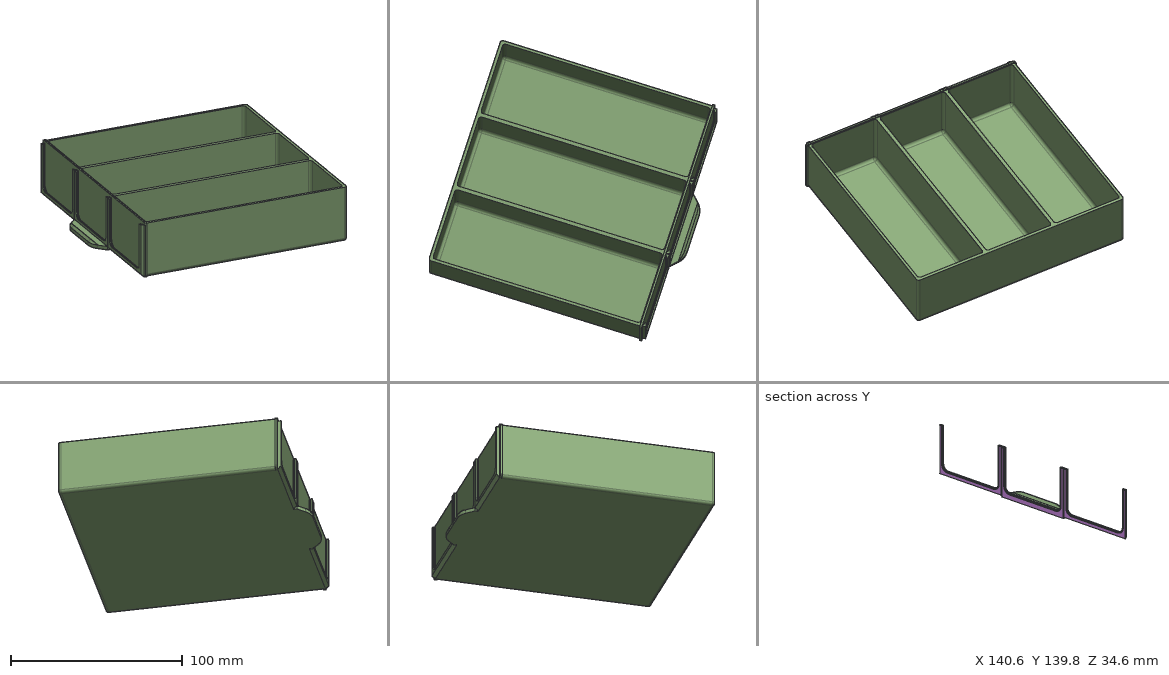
import cadquery as cq
import math

panel_width = 140.6
depth = 139.8
panel_height = 34.6

panel_thickness = 1.3
panel_corner_radius = 1.7

box_inset = 1.1
box_drop = 0.5
outer_radius = 1.7
wall = 1.7
back_wall = 2.0
divider = 2.2
floor_thickness = 1.4
cavity_corner_radius = 1.7
cavity_floor_radius = 2.0
cell_count = 3

holder_projection = 2.0
holder_drop = 1.7
holder_gap = 0.4
holder_border = 2.2
sill_height = 2.0
lip_thickness = 1.0
slot_thickness = 0.4
slot_overlap = 1.1
bevel_angle = 45
window_radius = 3.5

handle_reach = 7.2
handle_thickness = 2.2
handle_corner_radius = 9.8
ridge_height = 1.5
ridge_front_run = 1.4
ridge_back_run = 1.7

holder_front = handle_reach
panel_front = holder_front + holder_projection
panel_back = panel_front + panel_thickness
box_width = panel_width - 2 * box_inset
box_height = panel_height - box_drop
cell_width = (box_width - 2 * wall - (cell_count - 1) * divider) / cell_count
cell_pitch = cell_width + divider
holder_width = cell_pitch - holder_gap
holder_top = panel_height - holder_drop
lip_bevel = holder_projection - lip_thickness - slot_thickness
window_width = holder_width - 2 * holder_border
window_bottom = holder_projection + sill_height
cell_centres = [(i - (cell_count - 1) / 2) * cell_pitch for i in range(cell_count)]


def block(width, y_front, y_back, z_bottom, z_top, x_centre=0.0):
    """Box centred on x_centre between the given Y and Z limits."""
    size = (width, y_back - y_front, z_top - z_bottom)
    corner = (x_centre - width / 2, y_front, z_bottom)
    return cq.Workplane("XY").box(*size, centered=False).translate(corner)


def make_box():
    """Box with rounded outer edges and one rounded cavity per cell."""
    body = block(box_width, panel_front, depth, 0, box_height)
    body = body.edges("(>Y and |Z) or (<Z and (not <Y))").fillet(outer_radius)
    cavity_front = panel_front + wall
    for x in cell_centres:
        cavity = block(cell_width, cavity_front, depth - back_wall, floor_thickness, panel_height, x)
        cavity = cavity.edges("<Z").fillet(cavity_floor_radius)
        cavity = cavity.edges("|Z").fillet(cavity_corner_radius)
        body = body.cut(cavity)
    return body


def make_panel():
    """Flat front panel with rounded corners, wider and taller than the box."""
    panel = block(panel_width, panel_front, panel_back, 0, panel_height)
    return panel.edges("|Y").fillet(panel_corner_radius)


def opening(margin, y_front, y_back, taper=0.0):
    """U-shaped opening, open at the top, wider than the window by margin on each side."""
    half_width = window_width / 2 + margin
    bottom = window_bottom - margin
    radius = window_radius + margin
    bend = radius * (1 - math.sqrt(0.5))
    top = panel_height
    return (
        cq.Workplane("XZ", origin=(0, y_back, 0))
        .moveTo(-half_width, top)
        .lineTo(-half_width, bottom + radius)
        .threePointArc((-half_width + bend, bottom + bend), (-half_width + radius, bottom))
        .lineTo(half_width - radius, bottom)
        .threePointArc((half_width - bend, bottom + bend), (half_width, bottom + radius))
        .lineTo(half_width, top)
        .close()
        .extrude(y_back - y_front, taper=taper)
    )


def make_holder(x):
    """Label holder: block sloped underneath, with a bevelled slot behind a window."""
    profile = [
        (panel_front, 0),
        (holder_front, holder_projection),
        (holder_front, holder_top),
        (panel_front, holder_top),
    ]
    holder = cq.Workplane("YZ").polyline(profile).close().extrude(holder_width / 2, both=True)
    window = opening(0, holder_front, panel_front)
    bevel_back = panel_front - slot_thickness
    slot = opening(slot_overlap, bevel_back, panel_front)
    bevel = opening(slot_overlap, bevel_back - lip_bevel, bevel_back, taper=bevel_angle)
    return holder.cut(window).cut(slot).cut(bevel).translate((x, 0, 0))


def handle_outline(z):
    """Tab outline at height z: straight at the panel, 45 degree sides and a rounded tip."""
    root = holder_width / 2
    tip = root - handle_reach
    half_turn = math.radians(45) / 2
    tangent = handle_corner_radius * math.tan(half_turn)
    setback = tangent * math.sqrt(0.5)
    middle = handle_corner_radius * math.sin(half_turn)
    arc_rise = handle_corner_radius * (1 - math.cos(half_turn))
    straight = tip - tangent
    return (
        cq.Workplane("XY", origin=(0, 0, z))
        .moveTo(-root, panel_front)
        .lineTo(-root, holder_front)
        .lineTo(-tip - setback, setback)
        .threePointArc((-straight - middle, arc_rise), (-straight, 0))
        .lineTo(straight, 0)
        .threePointArc((straight + middle, arc_rise), (tip + setback, setback))
        .lineTo(root, holder_front)
        .lineTo(root, panel_front)
        .close()
    )


def make_handle():
    """Flat tab plus a ridge that slopes in from the tab edge and falls away behind."""
    tab = handle_outline(0).extrude(handle_thickness)
    taper = math.degrees(math.atan2(ridge_front_run, ridge_height))
    raised = handle_outline(handle_thickness).extrude(ridge_height, taper=taper)
    peak = ridge_front_run
    ridge_zone = (
        cq.Workplane("YZ", origin=(0, 0, handle_thickness))
        .polyline([(0, 0), (0, ridge_height), (peak, ridge_height), (peak + ridge_back_run, 0)])
        .close()
        .extrude(holder_width / 2, both=True)
    )
    return tab.union(raised.intersect(ridge_zone))


result = make_box().union(make_panel()).union(make_handle())
for centre in cell_centres:
    result = result.union(make_holder(centre))